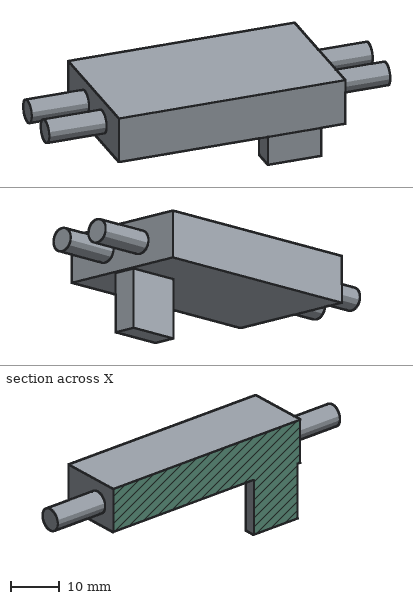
import cadquery as cq

body_width = 29.0
body_height = 10.0
overall_length = 75.4
pin_projection = 12.7
body_length = overall_length - 2 * pin_projection

pin_diameter = 5.0
pin_spacing = 10.0

overall_height = 22.7
tab_drop = overall_height - body_height
tab_width = 5.2
tab_length = 11.85
tab_inset = 0.7


def make_body():
    """Block centred on the origin."""
    return cq.Workplane("XY").box(body_width, body_length, body_height)


def make_pins():
    """Two parallel pins that project equally from both ends of the block."""
    return (
        cq.Workplane("XZ")
        .pushPoints([(-pin_spacing / 2, 0), (pin_spacing / 2, 0)])
        .circle(pin_diameter / 2)
        .extrude(overall_length / 2, both=True)
    )


def make_tab():
    """Tab extending down from the underside of the block."""
    tab_center_y = body_length / 2 - tab_inset - tab_length / 2
    return (
        cq.Workplane("XY", origin=(0, tab_center_y, -body_height / 2))
        .rect(tab_width, tab_length)
        .extrude(-tab_drop)
    )


result = make_body().union(make_pins()).union(make_tab())